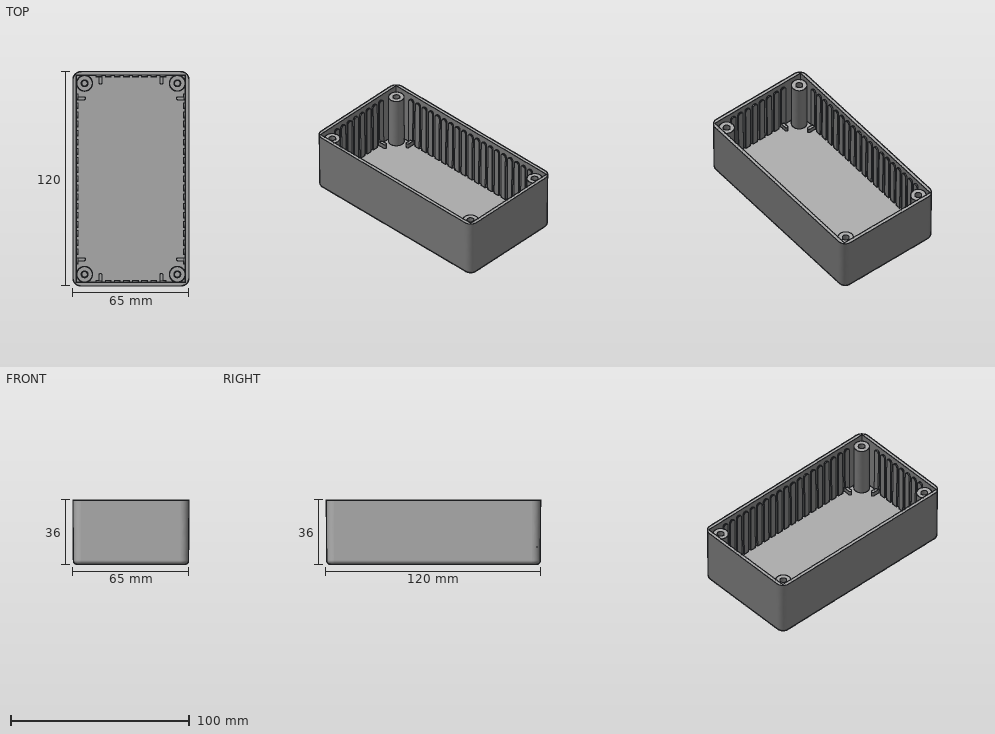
import cadquery as cq

length_x = 65.0
length_y = 120.0
height = 36.0
wall = 1.9
floor = 1.9
corner_radius = 4.7
bottom_fillet = 2.2
draft_angle = 0.45

post_top_radius = 4.3
post_draft_angle = 0.25
post_inset = 6.6
post_top_drop = 2.8
screw_hole_top_radius = 1.9
screw_hole_draft_angle = 0.6

rib_width = 3.2
rib_projection = 0.8
rib_top_drop = 3.1
end_rib_count = 8
side_rib_count = 19
side_rib_span = 91.8
rib_pitch = side_rib_span / (side_rib_count - 1)

tab_width = 1.7
tab_height = 2.6
tab_reach = 5.2
end_tab_x = 17.0
side_tab_y = 45.0

inner_half_x = length_x / 2 - wall
inner_half_y = length_y / 2 - wall
post_x = length_x / 2 - post_inset
post_y = length_y / 2 - post_inset
cavity_depth = height - floor

wall_overlap = wall / 2
base_z = floor / 2


def make_shell():
    """Tapered box with rounded outside edges and a square-cornered tapered cavity."""
    outer = (
        cq.Workplane("XY", origin=(0, 0, height))
        .sketch()
        .rect(length_x, length_y)
        .vertices()
        .fillet(corner_radius)
        .finalize()
        .extrude(-height, taper=draft_angle)
        .faces("<Z")
        .edges()
        .fillet(bottom_fillet)
    )
    return outer.cut(make_cavity())


def make_cavity():
    """Square-cornered inside volume, narrowing towards the floor."""
    return (
        cq.Workplane("XY", origin=(0, 0, height))
        .rect(2 * inner_half_x, 2 * inner_half_y)
        .extrude(-cavity_depth, taper=draft_angle)
    )


def make_rib(wall_distance):
    """Rib on the +Y wall, centred on x = 0, running from the floor to a round top.

    The rib leans with the tapered wall, pivoting about the inner edge of the rim.
    """
    shoulder = height - rib_top_drop - rib_width / 2
    upright_rib = (
        cq.Workplane("XZ", origin=(0, wall_distance + wall_overlap, 0))
        .moveTo(-rib_width / 2, base_z)
        .lineTo(rib_width / 2, base_z)
        .lineTo(rib_width / 2, shoulder)
        .threePointArc((0, height - rib_top_drop), (-rib_width / 2, shoulder))
        .close()
        .extrude(wall_overlap + rib_projection)
    )
    rim_edge = [(x, wall_distance, height) for x in (0, 1)]
    return upright_rib.rotate(*rim_edge, -draft_angle)


def make_tab(wall_distance):
    """Floor tab reaching inward from the +Y wall, centred on x = 0."""
    nose_y = wall_distance - tab_reach + tab_width / 2
    root_y = wall_distance + wall_overlap
    return (
        cq.Workplane("XY", origin=(0, 0, base_z))
        .moveTo(-tab_width / 2, root_y)
        .lineTo(-tab_width / 2, nose_y)
        .threePointArc((0, nose_y - tab_width / 2), (tab_width / 2, nose_y))
        .lineTo(tab_width / 2, root_y)
        .close()
        .extrude(floor + tab_height - base_z)
    )


def make_wall_features(wall_distance, rib_count, tab_offset):
    """All ribs and both tabs of the +Y wall."""
    rib = make_rib(wall_distance)
    tab = make_tab(wall_distance)
    features = tab.translate((-tab_offset, 0, 0)).union(tab.translate((tab_offset, 0, 0)))
    for index in range(rib_count):
        offset = (index - (rib_count - 1) / 2) * rib_pitch
        features = features.union(rib.translate((offset, 0, 0)))
    return features


def turn(features, angle):
    """Turn wall features about the vertical centre line of the box."""
    return features.rotate((0, 0, 0), (0, 0, 1), angle)


post_centres = [(sx * post_x, sy * post_y) for sx in (-1, 1) for sy in (-1, 1)]
post_top = height - post_top_drop

posts = (
    cq.Workplane("XY", origin=(0, 0, post_top))
    .pushPoints(post_centres)
    .circle(post_top_radius)
    .extrude(base_z - post_top, taper=-post_draft_angle)
)
screw_holes = (
    cq.Workplane("XY", origin=(0, 0, post_top))
    .pushPoints(post_centres)
    .circle(screw_hole_top_radius)
    .extrude(floor - post_top, taper=screw_hole_draft_angle)
)

end_wall = make_wall_features(inner_half_y, end_rib_count, end_tab_x)
side_wall = make_wall_features(inner_half_x, side_rib_count, side_tab_y)

result = make_shell().union(posts.cut(screw_holes))
for features, angle in ((end_wall, 0), (side_wall, 90), (end_wall, 180), (side_wall, 270)):
    result = result.union(turn(features, angle))